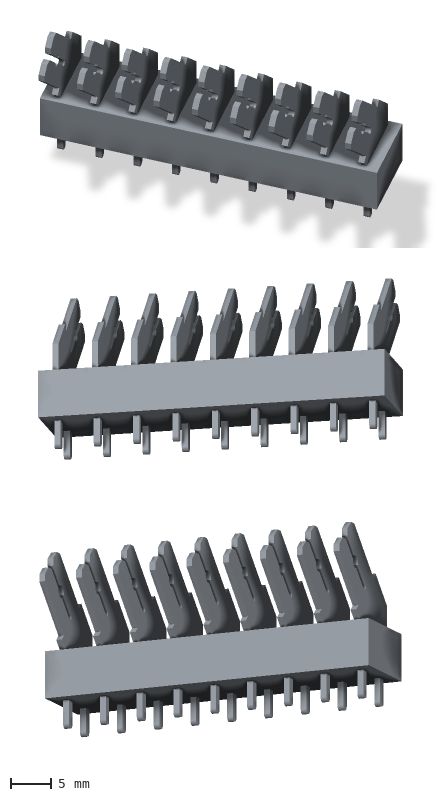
import cadquery as cq
import math

housing_length = 44.0
housing_depth = 9.8
housing_height = 6.0

terminal_count = 9
row_span = 40.0
terminal_pitch = row_span / (terminal_count - 1)
terminal_centres = [i * terminal_pitch - row_span / 2 for i in range(terminal_count)]
terminal_thickness = 0.8

leg_spacing = 5.0
leg_width = 1.0
leg_projection = 3.5
leg_tip_radius = leg_width / 2
leg_centres = (-leg_spacing / 2, leg_spacing / 2)

blade_width = 8.1
bend_angle = 45.0
bend_height = 1.9
mitre_rise = blade_width / 2 * math.tan(math.radians(bend_angle / 2))

head_length = 11.85
prong_length = 8.7
fork_width = 6.25
tip_chamfer = 0.65
slot_width = 0.75
slot_depth = 8.4
eye_radius = 0.8
eye_depth = 4.3


def terminal_sketch():
    """Terminal mid-plane: local x along +Y, local y along +Z, origin at the bend."""
    return cq.Workplane("YZ", origin=(0, 0, housing_height + bend_height))


def extrude_terminal(profile):
    return profile.extrude(terminal_thickness / 2, both=True)


def make_foot():
    """Upright foot, cut off along the mitre of the bend."""
    half = blade_width / 2
    outline = [(-half, -bend_height), (half, -bend_height), (half, mitre_rise), (-half, -mitre_rise)]
    return extrude_terminal(terminal_sketch().polyline(outline).close())


def make_fork_gap():
    """Round-ended slot between the prongs, with a round eye part way down."""
    half = slot_width / 2
    slot_bottom = head_length - slot_depth
    slot = extrude_terminal(
        terminal_sketch()
        .moveTo(-half, head_length)
        .lineTo(-half, slot_bottom + half)
        .threePointArc((0, slot_bottom), (half, slot_bottom + half))
        .lineTo(half, head_length)
        .close()
    )
    eye = extrude_terminal(terminal_sketch().center(0, head_length - eye_depth).circle(eye_radius))
    return slot.union(eye)


def make_head():
    """Forked head, drawn upright and then leaned over about the bend."""
    half_blade = blade_width / 2
    shoulder = head_length - prong_length
    base_outline = [
        (-half_blade, mitre_rise),
        (half_blade, -mitre_rise),
        (half_blade, shoulder),
        (-half_blade, shoulder),
    ]
    base = extrude_terminal(
        terminal_sketch()
        .polyline(base_outline)
        .close()
    )
    prong_width = (fork_width - slot_width) / 2
    prongs = extrude_terminal(
        terminal_sketch().center(0, shoulder + prong_length / 2).rect(fork_width, prong_length)
    )
    head = base.union(prongs).cut(make_fork_gap())
    for side in (-1, 1):
        prong_centre = side * (fork_width - prong_width) / 2
        head = head.cut(make_tip_corners(prong_centre, prong_width))
    bend_point = (0, 0, housing_height + bend_height)
    bend_axis_end = (1, 0, housing_height + bend_height)
    return head.rotate(bend_point, bend_axis_end, bend_angle)


def make_tip_corners(prong_centre, prong_width):
    """The two triangles that chamfer one prong tip."""
    corners = cq.Workplane()
    for side in (-1, 1):
        edge = prong_centre + side * prong_width / 2
        triangle = [
            (edge, head_length),
            (edge - side * tip_chamfer, head_length),
            (edge, head_length - tip_chamfer),
        ]
        corners = corners.add(extrude_terminal(terminal_sketch().polyline(triangle).close()))
    return corners.combine()


def make_leg(y):
    """One leg from the housing top down to its rounded tip."""
    half = leg_width / 2
    tip = -leg_projection
    return extrude_terminal(
        cq.Workplane("YZ")
        .moveTo(y - half, housing_height)
        .lineTo(y - half, tip + leg_tip_radius)
        .threePointArc((y, tip), (y + half, tip + leg_tip_radius))
        .lineTo(y + half, housing_height)
        .close()
    )


def make_terminal():
    terminal = make_foot().union(make_head())
    for y in leg_centres:
        terminal = terminal.union(make_leg(y))
    return terminal.clean()


def make_housing():
    """Plain block with a through hole for every leg."""
    block = cq.Workplane("XY").box(housing_length, housing_depth, housing_height, centered=(True, True, False))
    hole_centres = [(x, y) for x in terminal_centres for y in leg_centres]
    holes = (
        cq.Workplane("XY")
        .pushPoints(hole_centres)
        .rect(terminal_thickness, leg_width)
        .extrude(housing_height)
    )
    return block.cut(holes)


housing = make_housing()
terminal = make_terminal()
terminals = [terminal.translate((x, 0, 0)) for x in terminal_centres]

result = cq.Compound.makeCompound([housing.solids().val(), *[t.solids().val() for t in terminals]])